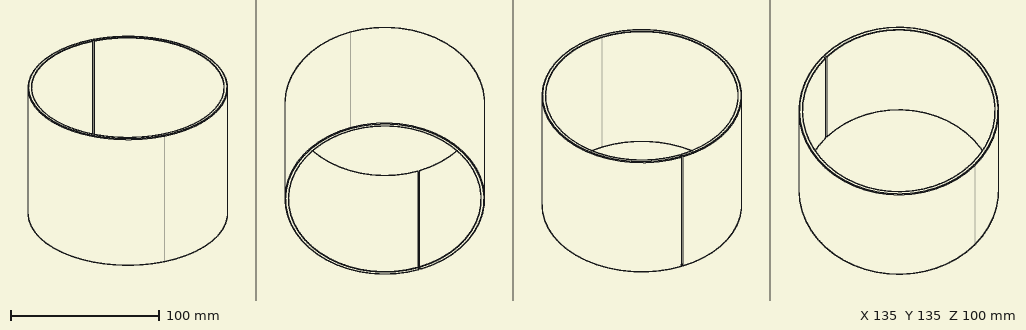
import cadquery as cq

outer_diameter = 135.0
wall = 2.5
height = 100.0
slit_width = 1.2
outer_chamfer = 0.5
inner_chamfer = 0.3

outer_radius = outer_diameter / 2
inner_radius = outer_radius - wall


def wall_profile():
    """Radial section of the wall, with its four corners chamfered."""
    return (
        cq.Workplane("XZ")
        .moveTo(inner_radius + inner_chamfer, 0)
        .lineTo(outer_radius - outer_chamfer, 0)
        .lineTo(outer_radius, outer_chamfer)
        .lineTo(outer_radius, height - outer_chamfer)
        .lineTo(outer_radius - outer_chamfer, height)
        .lineTo(inner_radius + inner_chamfer, height)
        .lineTo(inner_radius, height - inner_chamfer)
        .lineTo(inner_radius, inner_chamfer)
        .close()
    )


def slit():
    """Cutter for the full-height gap through the -X side, with one face on the XZ plane."""
    return (
        cq.Workplane("XY")
        .box(outer_radius, slit_width, height, centered=False)
        .translate((-outer_radius, 0, 0))
    )


ring = wall_profile().revolve(360, (0, 0, 0), (0, 1, 0))
result = ring.cut(slit())